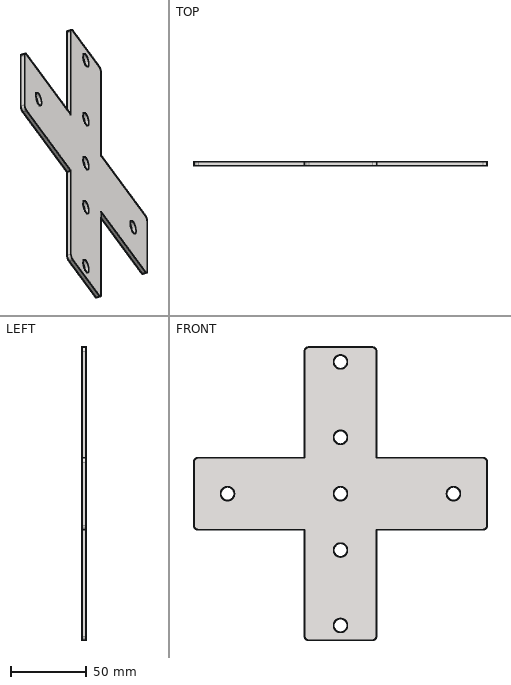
import cadquery as cq

span = 195.0
arm_width = 48.0
thickness = 3.0
corner_radius = 3.0

hole_diameter = 9.0
side_hole_offset = 75.0
inner_hole_offset = 37.5
end_hole_offset = 87.5


def arm(size_x, size_z):
    """Full-length bar with its four outer corners rounded."""
    bar = cq.Workplane("XY").box(size_x, thickness, size_z)
    return bar.edges("|Y").fillet(corner_radius)


cross = arm(span, arm_width).union(arm(arm_width, span))

hole_centers = [(0, 0)]
for side in (-1, 1):
    hole_centers.append((side * side_hole_offset, 0))
    hole_centers.append((0, side * inner_hole_offset))
    hole_centers.append((0, side * end_hole_offset))

holes = (
    cq.Workplane("XZ", origin=(0, thickness / 2, 0))
    .pushPoints(hole_centers)
    .circle(hole_diameter / 2)
    .extrude(thickness)
)

result = cross.cut(holes)